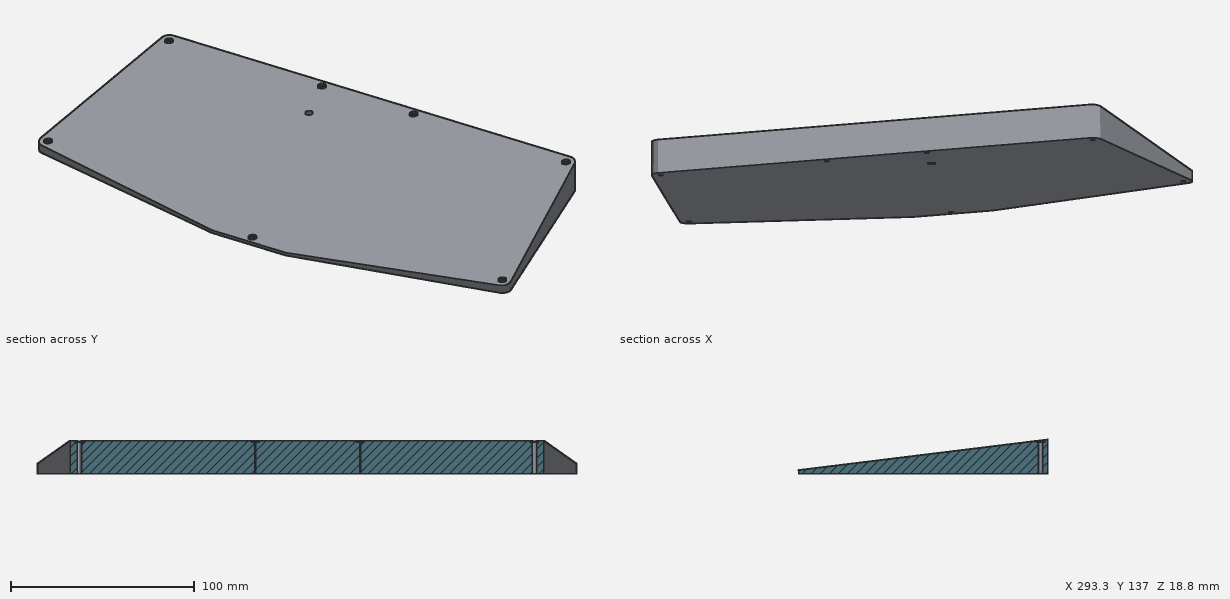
import cadquery as cq
import math

WIDTH = 293.34
DEPTH = 136.97
HEIGHT = 18.8
TILT = math.radians(7)
RIM_THICKNESS = 1.0

CORNER_RADIUS = 5.0
SIDE_ANGLE = 9.8
FRONT_ANGLE = 11.6
FRONT_FLAT = 46.0

SCREW_DIAMETER = 2.2
HEAD_DIAMETER = 4.5
HEAD_DEPTH = 1.0
EDGE_SCREW_INSET = 4.0
BACK_LEFT_SCREW_X = -29.0
BACK_RIGHT_SCREW_X = 28.2

ACCESS_DIAMETER = 4.0
ACCESS_X = -24.1
ACCESS_Y = 41.4

FRONT_Y = -DEPTH / 2
BACK_Y = DEPTH / 2
RIM_LEAN = RIM_THICKNESS * math.sin(TILT)
SLOPE_LENGTH = (DEPTH - RIM_LEAN) / math.cos(TILT)
FRONT_HEIGHT = HEIGHT - SLOPE_LENGTH * math.sin(TILT)

TOP_NORMAL = cq.Vector(0, -math.sin(TILT), math.cos(TILT))
TOP_PLANE = cq.Plane(origin=(0, FRONT_Y, FRONT_HEIGHT), xDir=(1, 0, 0), normal=TOP_NORMAL)

FRONT_CENTER_X = WIDTH / 2 - CORNER_RADIUS
FRONT_SWEEP = (FRONT_CENTER_X - FRONT_FLAT / 2) * math.tan(math.radians(FRONT_ANGLE))
FRONT_CENTER_UP = FRONT_SWEEP + CORNER_RADIUS / math.cos(math.radians(FRONT_ANGLE))
BACK_CENTER_UP = SLOPE_LENGTH - CORNER_RADIUS
SIDE_SHIFT = (BACK_CENTER_UP - FRONT_CENTER_UP) * math.tan(math.radians(SIDE_ANGLE))
BACK_CENTER_X = FRONT_CENTER_X - SIDE_SHIFT


def y_on_slope(up):
    """Y position of a point that lies the given distance up the slope."""
    return FRONT_Y + up * math.cos(TILT)


def top_height(y):
    """Height of the sloping top face at a Y position."""
    return FRONT_HEIGHT + (y - FRONT_Y) * math.tan(TILT)


def on_round(center_x, center_up, degrees):
    """Point on a corner round in the given direction from its centre."""
    angle = math.radians(degrees)
    x = center_x + CORNER_RADIUS * math.cos(angle)
    up = center_up + CORNER_RADIUS * math.sin(angle)
    return (x, up)


def mirrored(point):
    """The same point on the -X side."""
    return (-point[0], point[1])


def make_plate():
    """Sloping top plate with its rim square to the top face."""
    front_start = on_round(FRONT_CENTER_X, FRONT_CENTER_UP, FRONT_ANGLE - 90)
    front_middle = on_round(FRONT_CENTER_X, FRONT_CENTER_UP, 0)
    front_end = on_round(FRONT_CENTER_X, FRONT_CENTER_UP, SIDE_ANGLE)
    back_start = on_round(BACK_CENTER_X, BACK_CENTER_UP, SIDE_ANGLE)
    back_middle = on_round(BACK_CENTER_X, BACK_CENTER_UP, (SIDE_ANGLE + 90) / 2)
    back_end = on_round(BACK_CENTER_X, BACK_CENTER_UP, 90)
    return (
        cq.Workplane(TOP_PLANE)
        .moveTo(-FRONT_FLAT / 2, 0)
        .lineTo(FRONT_FLAT / 2, 0)
        .lineTo(*front_start)
        .threePointArc(front_middle, front_end)
        .lineTo(*back_start)
        .threePointArc(back_middle, back_end)
        .lineTo(*mirrored(back_end))
        .threePointArc(mirrored(back_middle), mirrored(back_start))
        .lineTo(*mirrored(front_end))
        .threePointArc(mirrored(front_middle), mirrored(front_start))
        .close()
        .extrude(-RIM_THICKNESS)
    )


def make_base(plate):
    """Solid with vertical walls from the underside of the plate down to Z = 0."""
    underside = plate.faces(cq.selectors.DirectionMinMaxSelector(TOP_NORMAL, False)).val()
    block = cq.Solid.extrudeLinear(underside.outerWire(), [], cq.Vector(0, 0, -HEIGHT))
    above_ground = cq.Workplane("XY").box(WIDTH * 2, DEPTH * 2, HEIGHT, centered=(True, True, False))
    return above_ground.intersect(cq.Workplane(block))


def vertical_cutter(x, y, diameter, floor):
    """Cylinder that cuts a vertical hole from above the top face down to floor."""
    return cq.Workplane("XY", origin=(x, y, floor)).circle(diameter / 2).extrude(HEIGHT)


def cut_screw_hole(body, x, y):
    """Through hole with a counterbore for the screw head."""
    shank = vertical_cutter(x, y, SCREW_DIAMETER, 0)
    head = vertical_cutter(x, y, HEAD_DIAMETER, top_height(y) - HEAD_DEPTH)
    return body.cut(shank).cut(head)


screw_positions = [
    (0, FRONT_Y + EDGE_SCREW_INSET),
    (BACK_LEFT_SCREW_X, BACK_Y - EDGE_SCREW_INSET),
    (BACK_RIGHT_SCREW_X, BACK_Y - EDGE_SCREW_INSET),
]

for side in (-1, 1):
    screw_positions.append((side * FRONT_CENTER_X, y_on_slope(FRONT_CENTER_UP)))
    screw_positions.append((side * BACK_CENTER_X, y_on_slope(BACK_CENTER_UP)))

top_plate = make_plate()
result = make_base(top_plate).union(top_plate)
for screw_x, screw_y in screw_positions:
    result = cut_screw_hole(result, screw_x, screw_y)
result = result.cut(vertical_cutter(ACCESS_X, ACCESS_Y, ACCESS_DIAMETER, 0))